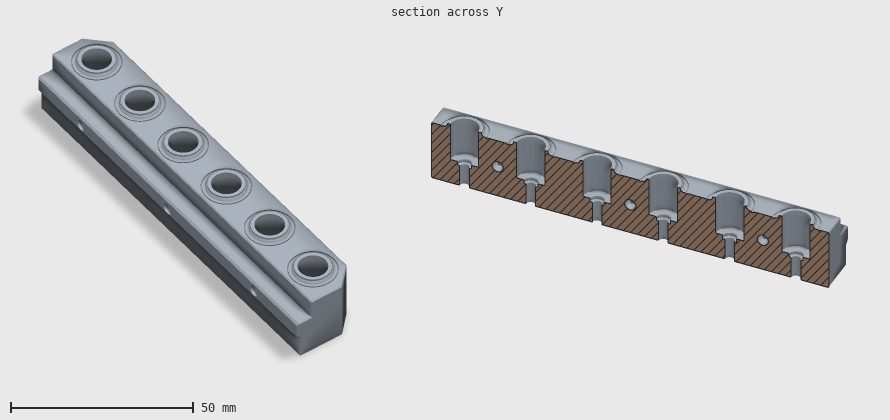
import cadquery as cq

length = 120.0
depth = 21.2
height = 18.8
corner_cut = 6.0
edge_break = 0.4

step_setback = 4.8
lower_setback = 1.1
lip_top = 13.0
lip_bottom = 7.0
lip_break = 0.6

port_count = 6
port_pitch = length / port_count
port_to_back = 8.5
collar_height = 1.2
collar_band = 0.6
collar_diameter = 10.5
collar_foot_diameter = 11.5
rim_diameter = 14.2
rim_groove_width = 0.4
rim_groove_depth = 0.4
bore_diameter = 8.4
bore_depth = 12.0
seat_diameter = 4.1
seat_depth = 1.2
seat_break = 0.2
outlet_diameter = 2.8

cross_hole_diameter = 3.2
cross_hole_spacing = 2 * port_pitch
outer_cross_hole_z = 10.0
middle_cross_hole_z = 9.5

front_y = -depth / 2
back_y = depth / 2
step_y = front_y + step_setback
lower_y = front_y + lower_setback
port_y = back_y - port_to_back
collar_top = height + collar_height


def make_block():
    """Stepped bar with its two back corners cut off and its outer edges broken."""
    profile = [
        (back_y, 0),
        (back_y, height),
        (step_y, height),
        (step_y, lip_top),
        (front_y + lip_break, lip_top),
        (front_y, lip_top - lip_break),
        (front_y, lip_bottom + lower_setback),
        (lower_y, lip_bottom),
        (lower_y, 0),
    ]
    bar = cq.Workplane("YZ").polyline(profile).close().extrude(length / 2, both=True)
    bar = bar.edges("|Z and >Y").chamfer(corner_cut)
    end_rims = bar.faces("<X or >X").edges("not(|Z and >Y)")
    level_rims = bar.faces("<Z or >Z").edges("not |Y")
    return bar.newObject(end_rims.vals() + level_rims.vals()).chamfer(edge_break)


def revolve_section(section):
    """Solid of revolution about Z from (radius, height) points."""
    return cq.Workplane("XZ").polyline(section).close().revolve(360, (0, 0), (0, 1))


def make_collar():
    """Straight band on a flared foot, standing on the block's top face."""
    top_radius = collar_diameter / 2
    return revolve_section([
        (0, height),
        (collar_foot_diameter / 2, height),
        (top_radius, collar_top - collar_band),
        (top_radius, collar_top),
        (0, collar_top),
    ])


def make_rim_groove():
    """Fine ring groove around the collar."""
    outer_radius = rim_diameter / 2
    inner_radius = outer_radius - rim_groove_width
    return revolve_section([
        (inner_radius, height - rim_groove_depth),
        (outer_radius, height - rim_groove_depth),
        (outer_radius, height),
        (inner_radius, height),
    ])


def make_port_bore():
    """Flat-bottomed bore, a seat and an outlet through the underside, with broken edges."""
    bore_radius = bore_diameter / 2
    seat_radius = seat_diameter / 2
    outlet_radius = outlet_diameter / 2
    bore_floor = collar_top - bore_depth
    seat_floor = bore_floor - seat_depth
    return revolve_section([
        (0, 0),
        (outlet_radius, 0),
        (outlet_radius, seat_floor - seat_break),
        (outlet_radius + seat_break, seat_floor),
        (seat_radius, seat_floor),
        (seat_radius, bore_floor - seat_break),
        (seat_radius + seat_break, bore_floor),
        (bore_radius, bore_floor),
        (bore_radius, collar_top),
        (0, collar_top),
    ])


def add_ports(block):
    """Row of identical ports along the top face."""
    collar = make_collar()
    groove = make_rim_groove()
    bore = make_port_bore()
    for index in range(port_count):
        place = ((index - (port_count - 1) / 2) * port_pitch, port_y, 0)
        block = block.cut(groove.translate(place))
        block = block.union(collar.translate(place))
        block = block.cut(bore.translate(place))
    return block


def cut_cross_holes(block):
    """Three holes through the full depth, the middle one slightly lower."""
    points = [
        (-cross_hole_spacing, outer_cross_hole_z),
        (0, middle_cross_hole_z),
        (cross_hole_spacing, outer_cross_hole_z),
    ]
    holes = (
        cq.Workplane("XZ", origin=(0, back_y, 0))
        .pushPoints(points)
        .circle(cross_hole_diameter / 2)
        .extrude(depth)
    )
    return block.cut(holes)


result = cut_cross_holes(add_ports(make_block()))